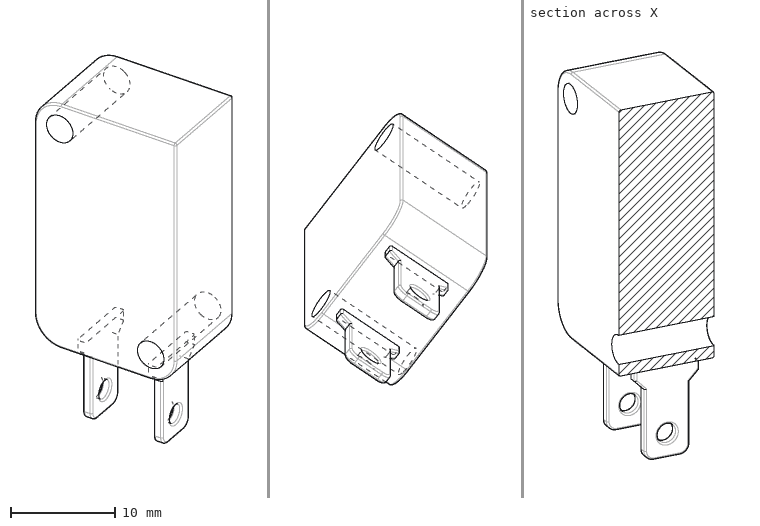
import cadquery as cq

body_width = 16.0
body_depth = 10.2
total_height = 37.5
terminal_length = 9.7
body_height = total_height - terminal_length
corner_radius = 3.0
edge_round = 0.2

mount_hole_diameter = 3.0
mount_spacing_x = 10.3
mount_spacing_z = 22.2

terminal_pitch = body_width / 2
terminal_thickness = 1.0
terminal_offset_y = 0.4
shoulder_width = 6.9
shoulder_length = 1.2
blade_width = 4.8
blade_tip_radius = 1.0
blade_hole_diameter = 2.0
blade_hole_from_tip = 2.48


def make_housing():
    """Block with every corner rounded except the upper +X one, drilled front to back."""
    block = cq.Workplane("XY").box(body_width, body_depth, body_height, centered=(True, True, False))
    block = block.edges("|Y and (<X or <Z)").fillet(corner_radius)
    block = block.edges("|Y and >X and >Z").fillet(edge_round)
    block = block.faces("<Y or >Y").edges().fillet(edge_round)
    mount_points = [
        (-mount_spacing_x / 2, (body_height + mount_spacing_z) / 2),
        (mount_spacing_x / 2, (body_height - mount_spacing_z) / 2),
    ]
    holes = (
        cq.Workplane("XZ")
        .pushPoints(mount_points)
        .circle(mount_hole_diameter / 2)
        .extrude(body_depth / 2, both=True)
    )
    return block.cut(holes)


def make_terminal(center_x):
    """Shouldered blade hanging below the housing, with a wire hole near its tip."""
    half_shoulder = shoulder_width / 2
    half_blade = blade_width / 2
    neck_z = -shoulder_length - (half_shoulder - half_blade)
    outline = [
        (-half_shoulder, 0),
        (-half_shoulder, -shoulder_length),
        (-half_blade, neck_z),
        (-half_blade, -terminal_length),
        (half_blade, -terminal_length),
        (half_blade, neck_z),
        (half_shoulder, -shoulder_length),
        (half_shoulder, 0),
    ]
    blade = cq.Workplane("YZ").polyline(outline).close().extrude(terminal_thickness / 2, both=True)
    blade = blade.edges("|X and <Z").fillet(blade_tip_radius)
    hole = (
        cq.Workplane("YZ")
        .center(0, blade_hole_from_tip - terminal_length)
        .circle(blade_hole_diameter / 2)
        .extrude(terminal_thickness / 2, both=True)
    )
    blade = blade.cut(hole)
    blade = blade.faces("<X or >X").edges("not >Z").fillet(edge_round)
    return blade.translate((center_x, terminal_offset_y, 0))


result = make_housing()
for side in (-1, 1):
    result = result.union(make_terminal(side * terminal_pitch / 2))